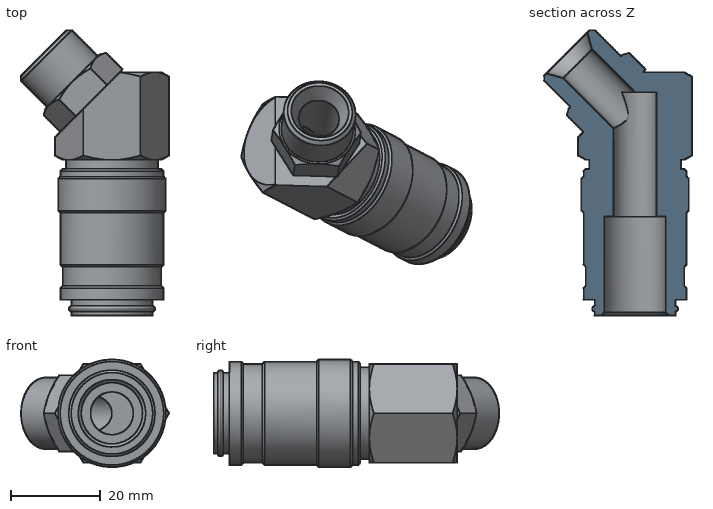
import cadquery as cq
import math


EDGE_BREAK = 0.5
NOSE_RADIUS = 9.05
NOSE_LENGTH = 3.5
RING_RADIUS = 0.65
RING_CENTRE_RADIUS = 8.95
RING_CENTRE_Y = 1.5
BODY_RADIUS = 11.5
GROOVE_RADIUS = BODY_RADIUS - EDGE_BREAK
GROOVE_START = 6.1
GROOVE_END = 11.3
COLLAR_RADIUS = BODY_RADIUS + EDGE_BREAK
COLLAR_START = 22.85
COLLAR_END = 30.9
SHOULDER_END = 32.6
NECK_RADIUS = 10.25

MAIN_FLATS = 22.0
MAIN_START = 34.6
MAIN_END = 54.1

BRANCH_ANGLE = 45.0
PIVOT_Y = 43.24
SEAT = 6.42
BRANCH_FLATS = 17.0
BRANCH_HEX_LENGTH = 6.0
SPIGOT_RADIUS = 8.0
SPIGOT_CHAMFER = 0.8
BRANCH_LENGTH = 15.0
TIP = SEAT + BRANCH_LENGTH

HEX_CHAMFER_ANGLE = 30.0

SOCKET_BORE_RADIUS = 6.8
SOCKET_BORE_DEPTH = 22.0
SOCKET_BORE_CHAMFER = 0.7
PASSAGE_RADIUS = 4.75
BRANCH_BORE_RADIUS = 4.5
PASSAGE_END = PIVOT_Y + BRANCH_BORE_RADIUS / math.cos(math.radians(BRANCH_ANGLE))
CONE_MOUTH_RADIUS = 6.4
CONE_DEPTH = 3.4


def revolve_profile(points):
    """Turn a closed (radius, Y) outline about the Y axis."""
    return cq.Workplane("XY").polyline(points).close().revolve(360, (0, 0, 0), (0, 1, 0))


def cylinder(radius, start, end):
    return revolve_profile([(0, start), (radius, start), (radius, end), (0, end)])


def hexagon(flats, start, end, chamfer_start):
    """Hexagonal bar along Y with flats facing +Z and -Z, its corners chamfered by cones."""
    corner_radius = flats / math.sqrt(3)
    drop = (corner_radius - flats / 2) * math.tan(math.radians(HEX_CHAMFER_ANGLE))
    envelope = cq.Workplane("XY").polyline([
        (0, end),
        (flats / 2, end),
        (corner_radius, end - drop),
    ])
    if chamfer_start:
        envelope = envelope.lineTo(corner_radius, start + drop).lineTo(flats / 2, start)
    else:
        envelope = envelope.lineTo(corner_radius, start)
    envelope = envelope.lineTo(0, start).close().revolve(360, (0, 0, 0), (0, 1, 0))
    bar = (
        cq.Workplane("XZ", origin=(0, start, 0))
        .polygon(6, 2 * corner_radius)
        .extrude(start - end)
    )
    return bar.intersect(envelope)


def place_on_branch(shape):
    """Move a shape built along +Y from the origin onto the branch axis."""
    return shape.rotate((0, 0, 0), (0, 0, 1), BRANCH_ANGLE).translate((0, PIVOT_Y, 0))


def socket_outside():
    turned = revolve_profile([
        (0, 0),
        (NOSE_RADIUS, 0),
        (NOSE_RADIUS, NOSE_LENGTH),
        (BODY_RADIUS, NOSE_LENGTH),
        (BODY_RADIUS, GROOVE_START),
        (GROOVE_RADIUS, GROOVE_START + EDGE_BREAK),
        (GROOVE_RADIUS, GROOVE_END - EDGE_BREAK),
        (BODY_RADIUS, GROOVE_END),
        (BODY_RADIUS, COLLAR_START),
        (COLLAR_RADIUS, COLLAR_START + EDGE_BREAK),
        (COLLAR_RADIUS, COLLAR_END - EDGE_BREAK),
        (BODY_RADIUS, COLLAR_END),
        (BODY_RADIUS, SHOULDER_END - EDGE_BREAK),
        (BODY_RADIUS - EDGE_BREAK, SHOULDER_END),
        (NECK_RADIUS, SHOULDER_END),
        (NECK_RADIUS, MAIN_START),
        (0, MAIN_START),
    ])
    ring = (
        cq.Workplane("XY")
        .center(RING_CENTRE_RADIUS, RING_CENTRE_Y)
        .circle(RING_RADIUS)
        .revolve(360, (-RING_CENTRE_RADIUS, 0, 0), (-RING_CENTRE_RADIUS, 1, 0))
    )
    return turned.union(ring)


def main_hexagon():
    """Hexagonal elbow body, cut off square to the branch at the branch seat."""
    body = hexagon(MAIN_FLATS, MAIN_START, MAIN_END, chamfer_start=True)
    block_size = 2 * MAIN_END
    beyond_seat = cq.Workplane("XY").box(block_size, block_size, block_size).translate(
        (0, SEAT + block_size / 2, 0)
    )
    return body.cut(place_on_branch(beyond_seat))


def branch_outside():
    nut = hexagon(BRANCH_FLATS, SEAT, SEAT + BRANCH_HEX_LENGTH, chamfer_start=False)
    spigot = revolve_profile([
        (0, SEAT),
        (SPIGOT_RADIUS, SEAT),
        (SPIGOT_RADIUS, TIP - SPIGOT_CHAMFER),
        (SPIGOT_RADIUS - SPIGOT_CHAMFER, TIP),
        (0, TIP),
    ])
    return place_on_branch(nut.union(spigot))


def socket_bore():
    mouth = revolve_profile([
        (0, 0),
        (SOCKET_BORE_RADIUS + SOCKET_BORE_CHAMFER, 0),
        (SOCKET_BORE_RADIUS, SOCKET_BORE_CHAMFER),
        (SOCKET_BORE_RADIUS, SOCKET_BORE_DEPTH),
        (0, SOCKET_BORE_DEPTH),
    ])
    return mouth.union(cylinder(PASSAGE_RADIUS, SOCKET_BORE_DEPTH, PASSAGE_END))


def branch_bore():
    """Straight passage from the socket axis, opening into a conical seat at the tip."""
    return place_on_branch(revolve_profile([
        (0, 0),
        (BRANCH_BORE_RADIUS, 0),
        (BRANCH_BORE_RADIUS, TIP - CONE_DEPTH),
        (CONE_MOUTH_RADIUS, TIP),
        (0, TIP),
    ]))


result = (
    socket_outside()
    .union(main_hexagon())
    .union(branch_outside())
    .cut(socket_bore())
    .cut(branch_bore())
)